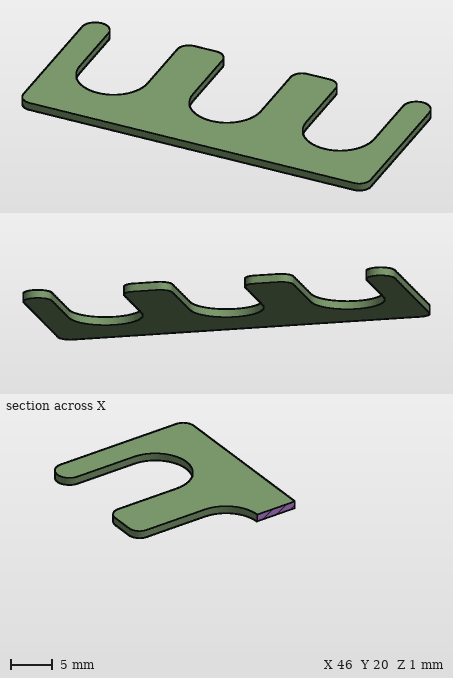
import cadquery as cq

length = 46.0
depth = 20.0
thickness = 1.0

slot_count = 3
slot_width = 9.0
slot_pitch = 15.0
floor_web = 5.5

base_corner_radius = 1.5
inner_tip_radius = 1.5

slot_radius = slot_width / 2
slot_span = (slot_count - 1) * slot_pitch + slot_width
outer_finger_width = (length - slot_span) / 2
outer_tip_radius = outer_finger_width / 2
inner_finger_width = slot_pitch - slot_width
slot_centers = [(i - (slot_count - 1) / 2) * slot_pitch for i in range(slot_count)]
inner_finger_centers = [x + slot_pitch / 2 for x in slot_centers[:-1]]
outer_finger_center = (length - outer_finger_width) / 2
front_edge = -depth / 2
back_edge = depth / 2
slot_arc_y = front_edge + floor_web + slot_radius


def base_bar():
    """Solid strip below the fingers, up to the centres of the slot arcs."""
    bar_depth = slot_arc_y - front_edge
    bar = cq.Workplane("XY").box(length, bar_depth, thickness, centered=(True, False, False))
    return bar.translate((0, front_edge, 0)).edges("|Z and <Y").fillet(base_corner_radius)


def inner_finger(x):
    """Straight finger with two rounded tip corners."""
    finger_length = back_edge - slot_arc_y
    finger = cq.Workplane("XY").box(
        inner_finger_width, finger_length, thickness, centered=(True, False, False)
    )
    return finger.edges("|Z and >Y").fillet(inner_tip_radius).translate((x, slot_arc_y, 0))


def outer_finger(x):
    """Straight finger with a fully round tip."""
    tip_center_y = back_edge - outer_tip_radius
    return (
        cq.Workplane("XY")
        .moveTo(x - outer_tip_radius, slot_arc_y)
        .lineTo(x + outer_tip_radius, slot_arc_y)
        .lineTo(x + outer_tip_radius, tip_center_y)
        .threePointArc((x, back_edge), (x - outer_tip_radius, tip_center_y))
        .close()
        .extrude(thickness)
    )


result = base_bar()
for finger_x in inner_finger_centers:
    result = result.union(inner_finger(finger_x))
for finger_x in (-outer_finger_center, outer_finger_center):
    result = result.union(outer_finger(finger_x))

slot_bottoms = (
    cq.Workplane("XY")
    .pushPoints([(x, slot_arc_y) for x in slot_centers])
    .circle(slot_radius)
    .extrude(thickness)
)
result = result.cut(slot_bottoms).clean()